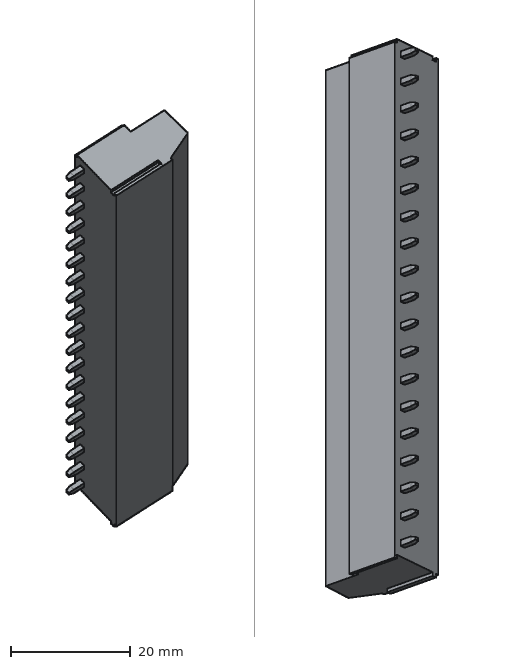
import cadquery as cq

pole_count = 19
total_height = 95.65
joint_depth = 0.7
body_height = total_height - joint_depth
pitch = body_height / pole_count

width = 11.2
body_depth = 17.4
back_rise = 0.21
shoulder_x = 2.3
shoulder_y = 10.0
slope_start_x = 8.4
slope_end_x = 10.7
slope_end_y = 12.0

tongue = (0, 0.6, 0.1)
rail = (9.8, 0.9, 0.1)

pin_x = 2.0
pin_size = 1.05
pin_tip_width = 0.8
pin_tip_height = 0.5
pin_length = 3.2
pin_shank = 2.2


def make_body():
    """Constant section whose back face falls slightly toward the shoulder."""
    outline = [
        (0, 0),
        (width, 0),
        (width, slope_end_y),
        (slope_end_x, slope_end_y),
        (slope_start_x, body_depth),
        (shoulder_x, body_depth - back_rise),
        (shoulder_x, shoulder_y),
        (0, shoulder_y),
    ]
    return cq.Workplane("XY").workplane(offset=joint_depth).polyline(outline).close().extrude(body_height)


def make_joint(joint, bottom_z):
    """Strip along Y with a pointed barb along its right side."""
    left_x, base_width, barb = joint
    right_x = left_x + base_width
    top_z = bottom_z + joint_depth
    section = [
        (left_x, bottom_z),
        (right_x, bottom_z),
        (right_x + barb, bottom_z + joint_depth / 2),
        (right_x, top_z),
        (left_x, top_z),
    ]
    return cq.Workplane("XZ").polyline(section).close().extrude(-shoulder_y)


def make_pin(z):
    """Square shank pointing toward -Y, ending in a tapered tip."""
    face = cq.Workplane("XZ", origin=(pin_x, 0, z))
    shank = face.rect(pin_size, pin_size).extrude(pin_shank)
    tip = (
        face.workplane(offset=pin_shank)
        .rect(pin_size, pin_size)
        .workplane(offset=pin_length - pin_shank)
        .rect(pin_tip_width, pin_tip_height)
        .loft()
    )
    return shank.union(tip)


result = make_body()

for joint in (tongue, rail):
    result = result.union(make_joint(joint, 0))
    result = result.cut(make_joint(joint, body_height))

for pole in range(pole_count):
    result = result.union(make_pin(joint_depth + (pole + 0.5) * pitch))